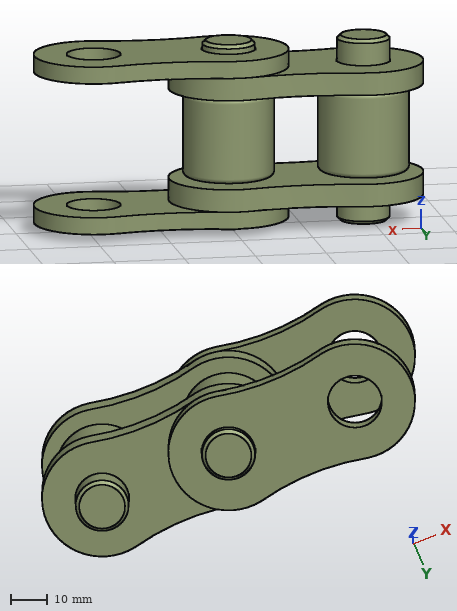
import cadquery as cq

overall_length = 109.5
plate_width = 33.4
pin_length = 52.5
pin_diameter = 14.7
hole_diameter = 15.0
pin_chamfer = 1.0
roller_diameter = 25.4
roller_length = 24.0
roller_fillet = 1.3
inner_plate_gap = 25.3
inner_plate_thickness = 6.3
outer_plate_thickness = 4.8
waist_width = 29.1
waist_start = 3.0

end_radius = plate_width / 2
pitch = (overall_length - plate_width) / 2
pin_positions = [-pitch, 0]
outer_plate_gap = inner_plate_gap + 2 * inner_plate_thickness


def make_plate(first_hole_x, bottom_z, thickness):
    """Waisted link plate with a hole at each end, its second hole one pitch along +X."""
    half_pitch = pitch / 2
    arc_end_x = half_pitch - waist_start
    arc_end_y = (end_radius**2 - waist_start**2) ** 0.5
    half_waist = waist_width / 2
    end_x = half_pitch + end_radius
    outline = (
        cq.Workplane("XY")
        .moveTo(-arc_end_x, arc_end_y)
        .threePointArc((0, half_waist), (arc_end_x, arc_end_y))
        .threePointArc((end_x, 0), (arc_end_x, -arc_end_y))
        .threePointArc((0, -half_waist), (-arc_end_x, -arc_end_y))
        .threePointArc((-end_x, 0), (-arc_end_x, arc_end_y))
        .close()
    )
    holes = (
        cq.Workplane("XY")
        .pushPoints([(-half_pitch, 0), (half_pitch, 0)])
        .circle(hole_diameter / 2)
        .extrude(thickness)
    )
    plate = outline.extrude(thickness).cut(holes)
    return plate.translate((first_hole_x + half_pitch, 0, bottom_z))


def make_plate_pair(first_hole_x, gap, thickness):
    """Lower and upper plates of one link, separated by the gap."""
    bottom_heights = [-gap / 2 - thickness, gap / 2]
    return [make_plate(first_hole_x, bottom_z, thickness).val() for bottom_z in bottom_heights]


def make_cylinder(diameter, length):
    """Upright cylinder centred on the origin."""
    return cq.Workplane("XY").workplane(offset=-length / 2).circle(diameter / 2).extrude(length)


def make_pin(x):
    """Plain pin with chamfered ends, running through both links."""
    pin = make_cylinder(pin_diameter, pin_length)
    return pin.edges("%CIRCLE").chamfer(pin_chamfer).translate((x, 0, 0))


def make_roller(x):
    """Roller with rounded outer rims, bored for its pin."""
    roller = make_cylinder(roller_diameter, roller_length)
    roller = roller.edges("%CIRCLE").fillet(roller_fillet)
    bore = make_cylinder(hole_diameter, roller_length)
    return roller.cut(bore).translate((x, 0, 0))


inner_plates = make_plate_pair(-pitch, inner_plate_gap, inner_plate_thickness)
outer_plates = make_plate_pair(0, outer_plate_gap, outer_plate_thickness)
pins = [make_pin(x).val() for x in pin_positions]
rollers = [make_roller(x).val() for x in pin_positions]

result = cq.Compound.makeCompound([*inner_plates, *outer_plates, *pins, *rollers])